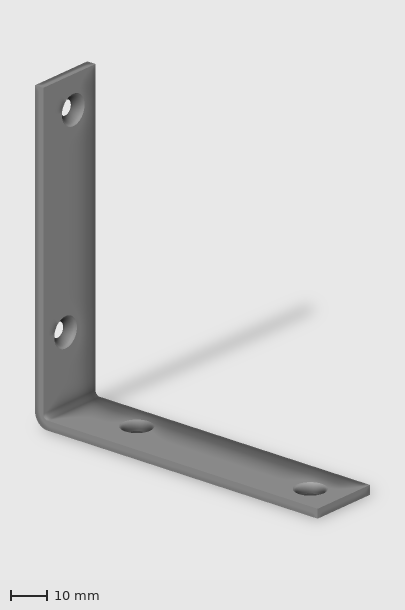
import cadquery as cq

leg_length = 101.6
width = 22.3
thickness = 2.9
outer_bend_radius = 4.5
inner_bend_radius = 1.5

hole_diameter = 4.9
countersink_diameter = 9.7
countersink_angle = 90.0
near_hole_distance = 25.8
far_hole_distance = 90.9
hole_offset = 1.6


def bracket_body():
    """Bent strip with its outer corner at the origin, centred on Y."""
    profile = (
        cq.Workplane("XZ")
        .moveTo(outer_bend_radius, 0)
        .lineTo(leg_length, 0)
        .lineTo(leg_length, thickness)
        .lineTo(thickness + inner_bend_radius, thickness)
        .radiusArc((thickness, thickness + inner_bend_radius), inner_bend_radius)
        .lineTo(thickness, leg_length)
        .lineTo(0, leg_length)
        .lineTo(0, outer_bend_radius)
        .radiusArc((outer_bend_radius, 0), -outer_bend_radius)
        .close()
    )
    return profile.extrude(width / 2, both=True)


def drill_leg(body, inner_face, hole_positions):
    """Drill countersunk holes through one leg from its inner face."""
    return (
        body.copyWorkplane(inner_face)
        .pushPoints(hole_positions)
        .cskHole(hole_diameter, countersink_diameter, countersink_angle, depth=thickness)
    )


horizontal_inner_face = cq.Workplane("XY", origin=(0, 0, thickness))
horizontal_holes = [(near_hole_distance, hole_offset), (far_hole_distance, -hole_offset)]

vertical_inner_face = cq.Workplane("YZ", origin=(thickness, 0, 0))
vertical_holes = [(-hole_offset, near_hole_distance), (hole_offset, far_hole_distance)]

result = bracket_body()
result = drill_leg(result, horizontal_inner_face, horizontal_holes)
result = drill_leg(result, vertical_inner_face, vertical_holes)